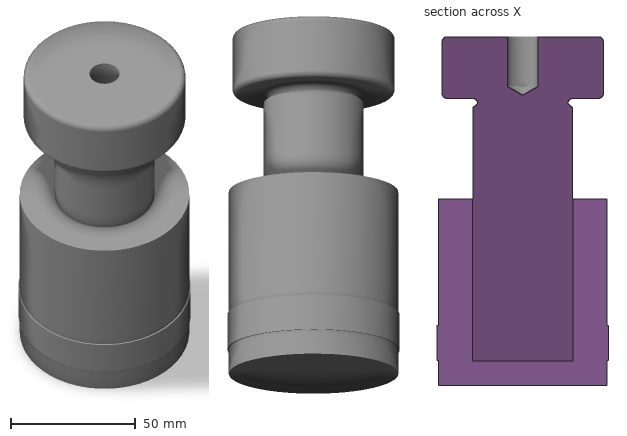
import cadquery as cq
import math

total_height = 140.0
housing_height = 74.9
band_bottom = 10.0
band_top = 24.2

housing_radius = 34.0
band_radius = 34.6

rod_radius = 20.0
rod_bottom = band_bottom
shoulder_height = 111.6
neck_radius = 18.2
neck_flare_start = 113.1
head_bottom = 115.1
head_radius = 32.5
head_rounding = 2.1
neck_fillet = head_bottom - neck_flare_start

hole_radius = 6.0
hole_depth = 20.0
drill_tip_angle = 120.0


def make_housing():
    """Cylindrical housing with a raised band and a blind bore for the rod."""
    body = cq.Workplane("XY").circle(housing_radius).extrude(housing_height)
    band = (
        cq.Workplane("XY", origin=(0, 0, band_bottom))
        .circle(band_radius)
        .extrude(band_top - band_bottom)
    )
    bore = (
        cq.Workplane("XY", origin=(0, 0, rod_bottom))
        .circle(rod_radius)
        .extrude(housing_height - rod_bottom)
    )
    return body.union(band).cut(bore)


def make_drilled_hole():
    """Blind hole from the top of the head, ending in a conical drill tip."""
    hole_floor = total_height - hole_depth
    tip_length = hole_radius / math.tan(math.radians(drill_tip_angle / 2))
    return (
        cq.Workplane("XZ")
        .moveTo(0, total_height)
        .lineTo(hole_radius, total_height)
        .lineTo(hole_radius, hole_floor)
        .lineTo(0, hole_floor - tip_length)
        .close()
        .revolve(360, (0, 0, 0), (0, 1, 0))
    )


def make_plunger():
    """Rod and rounded head, joined by a narrowed neck that flares into the head."""
    rod = (
        cq.Workplane("XZ")
        .moveTo(0, rod_bottom)
        .lineTo(rod_radius, rod_bottom)
        .lineTo(rod_radius, shoulder_height)
        .lineTo(neck_radius, neck_flare_start)
        .radiusArc((neck_radius + neck_fillet, head_bottom), neck_fillet)
        .lineTo(0, head_bottom)
        .close()
        .revolve(360, (0, 0, 0), (0, 1, 0))
    )
    head = (
        cq.Workplane("XY", origin=(0, 0, head_bottom))
        .circle(head_radius)
        .extrude(total_height - head_bottom)
        .edges()
        .fillet(head_rounding)
    )
    return rod.union(head).cut(make_drilled_hole())


housing = make_housing()
plunger = make_plunger()
result = cq.Compound.makeCompound([housing.solids().val(), plunger.solids().val()])